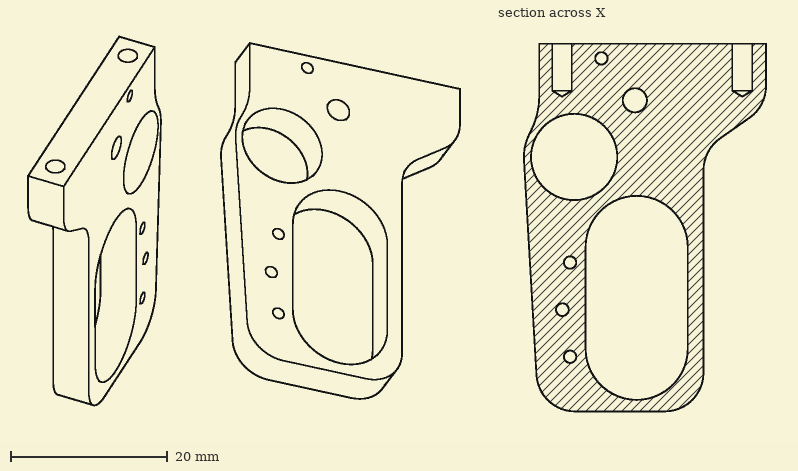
import cadquery as cq
import math

thickness = 5.0
depth = 30.95
height = 47.0

head_depth = 29.0
grip_front = 8.0
nose_z = 39.0
underside_angle = 35.0
corner_radius = 5.0
rear_corner_y = 24.4
rear_blend_radius = 10.0

bore_diameter = 11.0
ring_radius = 6.45
ring_y = depth - ring_radius
ring_z = 32.52

slot_width = 13.0
slot_length = 26.05
slot_y = 16.55
slot_z = 14.5

pivot_diameter = 3.05
pivot_y, pivot_z = 16.8, 39.75
pin_diameter = 1.55
top_pin_y, top_pin_z = 21.05, 45.1
middle_pin_diameter = 1.6
middle_pin_y, middle_pin_z = 26.05, 13.0
outer_pin_y = 25.05
pin_pitch = 6.0

screw_diameter = 2.45
screw_depth = 6.0
screw_tip_angle = 118.0
screw_ys = (3.05, 26.1)


def point_on_circle(y, z, radius, angle):
    """Point at an angle (radians) measured from +Y towards +Z."""
    return (y + radius * math.cos(angle), z + radius * math.sin(angle))


def make_plate():
    slope = math.radians(underside_angle)
    underside_z = nose_z - grip_front * math.tan(slope)

    centre_rise = ring_z - corner_radius
    centre_shift = ring_y - rear_corner_y
    centre_distance = math.hypot(centre_rise, centre_shift)
    taper = math.asin((ring_radius - corner_radius) / centre_distance)
    lean = -taper - math.atan(centre_shift / centre_rise)
    corner_start = point_on_circle(rear_corner_y, corner_radius, corner_radius, -math.pi / 2)
    corner_middle = point_on_circle(rear_corner_y, corner_radius, corner_radius, (lean - math.pi / 2) / 2)
    corner_end = point_on_circle(rear_corner_y, corner_radius, corner_radius, lean)
    ring_start = point_on_circle(ring_y, ring_z, ring_radius, lean)

    blend_y = head_depth + rear_blend_radius
    blend_angle = math.acos((blend_y - ring_y) / (ring_radius + rear_blend_radius))
    blend_z = ring_z + (ring_radius + rear_blend_radius) * math.sin(blend_angle)
    ring_middle = point_on_circle(ring_y, ring_z, ring_radius, (lean + blend_angle) / 2)
    ring_end = point_on_circle(ring_y, ring_z, ring_radius, blend_angle)
    blend_middle = point_on_circle(blend_y, blend_z, rear_blend_radius, math.pi + blend_angle / 2)

    outline = (
        cq.Workplane("YZ")
        .moveTo(0, height)
        .lineTo(0, nose_z)
        .lineTo(grip_front, underside_z)
        .lineTo(grip_front, 0)
        .lineTo(*corner_start)
        .threePointArc(corner_middle, corner_end)
        .lineTo(*ring_start)
        .threePointArc(ring_middle, ring_end)
        .threePointArc(blend_middle, (head_depth, blend_z))
        .lineTo(head_depth, height)
        .close()
    )
    plate = outline.extrude(thickness)

    for y, z in ((0, nose_z), (grip_front, underside_z), (grip_front, 0)):
        corner = cq.selectors.NearestToPointSelector((thickness / 2, y, z))
        plate = plate.edges("|X").edges(corner).fillet(corner_radius)
    return plate


def cross_hole(y, z, diameter):
    return cq.Workplane("YZ").center(y, z).circle(diameter / 2).extrude(thickness)


def finger_slot():
    return cq.Workplane("YZ").center(slot_y, slot_z).slot2D(slot_length, slot_width, 90).extrude(thickness)


def screw_hole(y):
    """Drilled hole with a conical bottom, revolved about its own axis."""
    radius = screw_diameter / 2
    tip_length = radius / math.tan(math.radians(screw_tip_angle / 2))
    profile = (
        cq.Workplane("XZ")
        .lineTo(radius, 0)
        .lineTo(radius, -screw_depth)
        .lineTo(0, -screw_depth - tip_length)
        .close()
    )
    return profile.revolve(360, (0, 0), (0, 1)).translate((thickness / 2, y, height))


result = make_plate().cut(finger_slot())

cross_holes = (
    (ring_y, ring_z, bore_diameter),
    (pivot_y, pivot_z, pivot_diameter),
    (top_pin_y, top_pin_z, pin_diameter),
    (outer_pin_y, middle_pin_z + pin_pitch, pin_diameter),
    (middle_pin_y, middle_pin_z, middle_pin_diameter),
    (outer_pin_y, middle_pin_z - pin_pitch, pin_diameter),
)
for hole_y, hole_z, hole_diameter in cross_holes:
    result = result.cut(cross_hole(hole_y, hole_z, hole_diameter))

for screw_y in screw_ys:
    result = result.cut(screw_hole(screw_y))